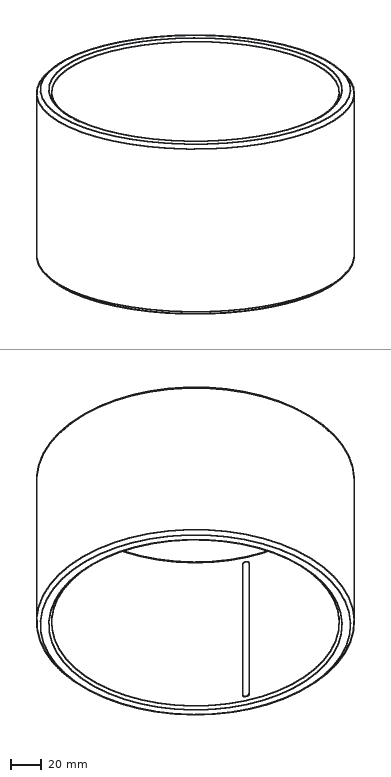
import cadquery as cq

outer_diameter = 210.0
bore_diameter = 190.0
height = 120.0
outer_chamfer = 2.5
bore_chamfer = 1.9
groove_radius = 2.3
groove_end_margin = 5.2

outer_radius = outer_diameter / 2
bore_radius = bore_diameter / 2

body = cq.Workplane("XY").circle(outer_radius).extrude(height)
body = body.faces("<Z or >Z").edges().chamfer(outer_chamfer)

bore = cq.Workplane("XY").circle(bore_radius).extrude(height)
lead_in = cq.Solid.makeCone(bore_radius + bore_chamfer, bore_radius, bore_chamfer)
top_lead_in = lead_in.mirror("XY").translate(cq.Vector(0, 0, height))
sleeve = body.cut(bore).cut(cq.Workplane(lead_in)).cut(cq.Workplane(top_lead_in))

groove_start = groove_end_margin + groove_radius
groove_stop = height - groove_start
groove = (
    cq.Workplane("XY", origin=(bore_radius, 0, groove_start))
    .circle(groove_radius)
    .extrude(groove_stop - groove_start)
)
for ball_height in (groove_start, groove_stop):
    ball = cq.Workplane("XY", origin=(bore_radius, 0, ball_height)).sphere(groove_radius)
    groove = groove.union(ball)

result = sleeve.cut(groove)